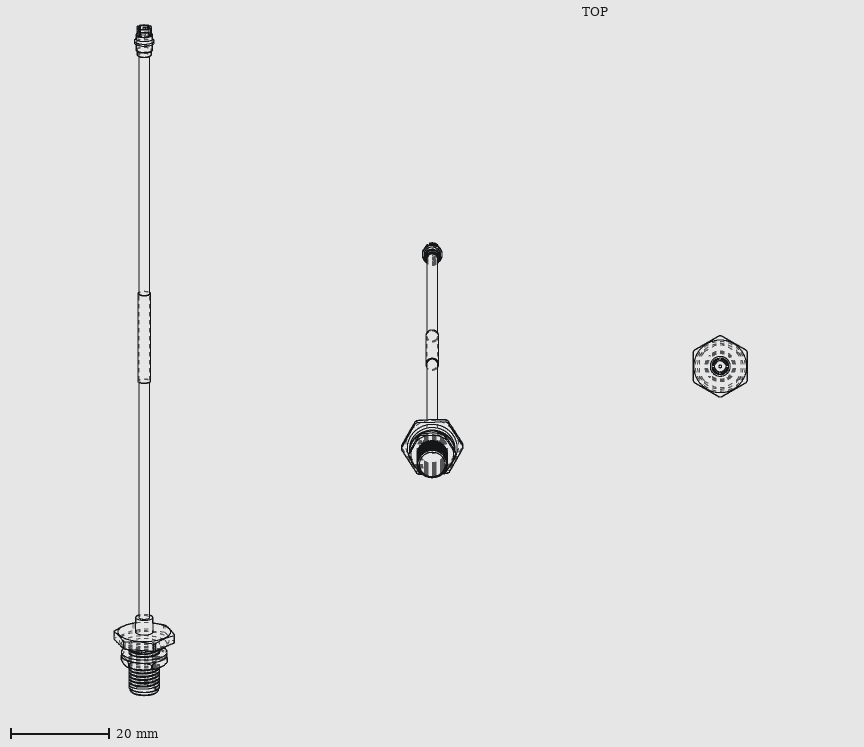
import cadquery as cq
import math

TOTAL_LENGTH = 145.4
HEX_BOTTOM = 11.0
HEX_TOP = 13.0
FERRULE_TOP = 16.1
PLUG_BOTTOM = 139.3

HEX_FLATS = 11.0
HEX_CORNERS = 12.5
HEX_TOP_DIAMETER = 10.8
HEX_CHAMFER_HEIGHT = 0.3
SEAT_TOP_DIAMETER = 10.2
SEAT_DIAMETER = 9.3
SEAT_HEIGHT = 0.7
FERRULE_DIAMETER = 3.5

THREAD_DIAMETER = 6.3
THREAD_PITCH = 0.71
THREAD_DEPTH = 0.5
GROOVE_WIDTH = 0.6
GROOVE_OVERSHOOT = 0.06
THREAD_BOTTOM = 1.3
THREAD_TOP = 9.7
TIP_DIAMETER = 5.8
TIP_HEIGHT = 0.9
TIP_CHAMFER = 0.3

WASHER_DIAMETER = 9.3
NUT_FLATS = 8.5
NUT_CORNERS = 9.6
NUT_CHAMFER = 0.5
NUT_BOTTOM = 6.3
NUT_TOP = 7.8
WASHER_TOP = 8.6

CABLE_DIAMETER = 2.2
SLEEVE_DIAMETER = 2.6
SLEEVE_BOTTOM = 67.9
SLEEVE_TOP = 87.0

PLUG_DIAMETER = 3.3
PLUG_TAIL_DIAMETER = 2.9
PLUG_TAIL_TOP = 140.4
PLUG_TAIL_CHAMFER = 0.1
COLLAR_DIAMETER = 4.0
COLLAR_BOTTOM = 142.0
COLLAR_TOP = 142.5
COLLAR_TAPER_TOP = 142.9
SNAP_GROOVE_DIAMETER = 2.9
SNAP_GROOVE_BOTTOM = 143.8
SNAP_GROOVE_TOP = 144.8
PLUG_LIP_DIAMETER = 3.0
SOCKET_DIAMETER = 2.3
SOCKET_DEPTH = 1.7
PIN_DIAMETER = 0.6
SLOT_WIDTH = 0.5


def cylinder(diameter, bottom, top):
    return cq.Workplane("XY").workplane(offset=bottom).circle(diameter / 2).extrude(top - bottom)


def cone(bottom_diameter, top_diameter, bottom, top):
    solid = cq.Solid.makeCone(bottom_diameter / 2, top_diameter / 2, top - bottom)
    return cq.Workplane(solid.translate(cq.Vector(0, 0, bottom)))


def hexagon(flats, bottom, top):
    """Hexagonal prism with two of its flats facing +X and -X."""
    corners = flats / math.cos(math.pi / 6)
    prism = cq.Workplane("XY").workplane(offset=bottom).polygon(6, corners).extrude(top - bottom)
    return prism.rotate((0, 0, 0), (0, 0, 1), 90)


def helical_groove():
    """V-shaped cutter that winds along the jack thread."""
    radius = THREAD_DIAMETER / 2
    half_width = GROOVE_WIDTH / 2 * (THREAD_DEPTH + GROOVE_OVERSHOOT) / THREAD_DEPTH
    path = cq.Wire.makeHelix(THREAD_PITCH, THREAD_TOP - THREAD_BOTTOM, radius)
    profile = (
        cq.Workplane("XZ")
        .moveTo(radius - THREAD_DEPTH, 0)
        .lineTo(radius + GROOVE_OVERSHOOT, half_width)
        .lineTo(radius + GROOVE_OVERSHOOT, -half_width)
        .close()
    )
    return profile.sweep(cq.Workplane(path), isFrenet=True).translate((0, 0, THREAD_BOTTOM))


def make_jack():
    chamfer_width = (HEX_CORNERS - HEX_TOP_DIAMETER) / 2
    hex_trim = cylinder(HEX_CORNERS, HEX_BOTTOM, HEX_TOP)
    hex_trim = hex_trim.faces(">Z").chamfer(HEX_CHAMFER_HEIGHT, chamfer_width)
    flange = hexagon(HEX_FLATS, HEX_BOTTOM, HEX_TOP).intersect(hex_trim)
    seat = cone(SEAT_DIAMETER, SEAT_TOP_DIAMETER, HEX_BOTTOM - SEAT_HEIGHT, HEX_BOTTOM)
    barrel = cylinder(THREAD_DIAMETER, TIP_HEIGHT, HEX_BOTTOM).cut(helical_groove())
    tip = cylinder(TIP_DIAMETER, 0, TIP_HEIGHT).faces("<Z").chamfer(TIP_CHAMFER)
    ferrule = cylinder(FERRULE_DIAMETER, HEX_TOP, FERRULE_TOP)
    return barrel.union(tip).union(seat).union(flange).union(ferrule)


def make_nut():
    trim = cylinder(NUT_CORNERS, NUT_BOTTOM, NUT_TOP).edges().chamfer(NUT_CHAMFER)
    bore = cylinder(THREAD_DIAMETER, NUT_BOTTOM, NUT_TOP)
    return hexagon(NUT_FLATS, NUT_BOTTOM, NUT_TOP).intersect(trim).cut(bore)


def make_washer():
    bore = cylinder(THREAD_DIAMETER, NUT_TOP, WASHER_TOP)
    return cylinder(WASHER_DIAMETER, NUT_TOP, WASHER_TOP).cut(bore)


def make_cable():
    return cylinder(CABLE_DIAMETER, FERRULE_TOP, PLUG_BOTTOM)


def make_sleeve():
    bore = cylinder(CABLE_DIAMETER, SLEEVE_BOTTOM, SLEEVE_TOP)
    return cylinder(SLEEVE_DIAMETER, SLEEVE_BOTTOM, SLEEVE_TOP).cut(bore)


def plug_slots():
    """Two crossed cuts that split the plug's snap end into four fingers."""
    height = TOTAL_LENGTH - SNAP_GROOVE_BOTTOM
    base = cq.Workplane("XY").workplane(offset=SNAP_GROOVE_BOTTOM)
    slot = base.rect(PLUG_DIAMETER, SLOT_WIDTH).extrude(height)
    return slot.union(slot.rotate((0, 0, 0), (0, 0, 1), 90))


def make_plug():
    tail = cylinder(PLUG_TAIL_DIAMETER, PLUG_BOTTOM, PLUG_TAIL_TOP).faces("<Z").chamfer(PLUG_TAIL_CHAMFER)
    body = cylinder(PLUG_DIAMETER, PLUG_TAIL_TOP, SNAP_GROOVE_BOTTOM)
    collar = cylinder(COLLAR_DIAMETER, COLLAR_BOTTOM, COLLAR_TOP)
    taper = cone(COLLAR_DIAMETER, PLUG_DIAMETER, COLLAR_TOP, COLLAR_TAPER_TOP)
    groove_floor = cylinder(SNAP_GROOVE_DIAMETER, SNAP_GROOVE_BOTTOM, SNAP_GROOVE_TOP)
    lip = cylinder(PLUG_LIP_DIAMETER, SNAP_GROOVE_TOP, TOTAL_LENGTH)
    shell = tail.union(body).union(collar).union(taper).union(groove_floor).union(lip)

    socket_floor = TOTAL_LENGTH - SOCKET_DEPTH
    socket = cylinder(SOCKET_DIAMETER, socket_floor, TOTAL_LENGTH)
    contact_pin = cylinder(PIN_DIAMETER, socket_floor, TOTAL_LENGTH)
    return shell.cut(socket).cut(plug_slots()).union(contact_pin)


jack = make_jack()
washer = make_washer()
nut = make_nut()
cable = make_cable()
sleeve = make_sleeve()
plug = make_plug()

result = cq.Compound.makeCompound(
    [jack.val(), washer.val(), nut.val(), cable.val(), sleeve.val(), plug.val()]
)